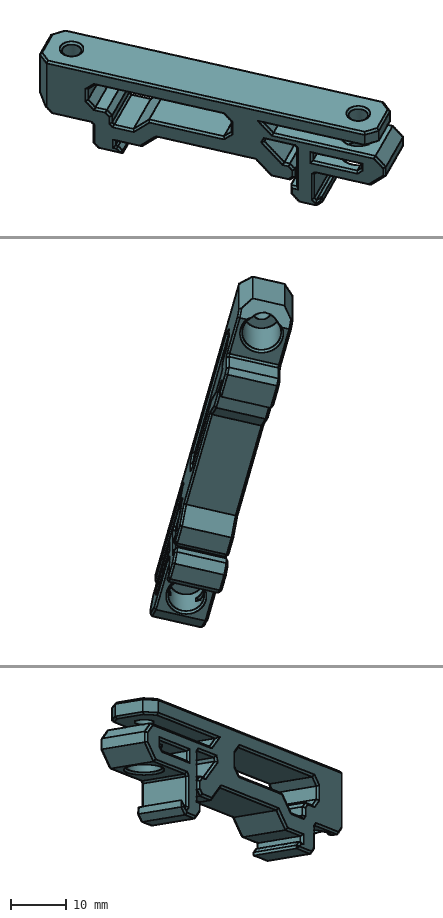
import cadquery as cq

length = 67.0
width = 10.0
height = 19.6

bevel = 0.4
end_cut = 2.0
corner_fill = 0.4
tip_cut = 1.0

bar_bottom = -3.1
arm_top = -5.0
window_floor = -8.4
body_bottom = -12.0
web_bottom = -15.0
left_foot = -17.6
hook_ledge = -16.15

bar_end = 65.05
block_slope = 2.95
step = body_bottom - web_bottom

left_leg_start = 10.85
left_leg_end = 15.15
left_hook_tip = 16.5
left_hook_flat = 0.6
web_end = 20.2

stop_slope_start = 42.0
stop_end = 49.6
stop_top = -11.25
stop_top_start = 47.5

slit_top = -6.8
slit_corner_cut = 0.95

clip_leg_start = 49.9
clip_leg_end = 53.25
clip_heel = 48.8
clip_heel_cut = 1.6
clip_tip = 54.8
clip_tip_cut = 1.2
clip_tip_top = -17.15
clip_throat = -17.95

arm_nose_cut = 2.95
arm_brow_cut = 2.0
arm_top_start = 45.4

window_start = 9.85
window_end = 37.3
window_cut = 1.4
window_shelf_end = 14.5
window_pit = -11.4
window_pit_end = 18.55

slot_start = 53.0
slot_end = 62.3
slot_top = -7.6
slot_floor = -9.4
slot_cut = 0.8

screw_diameter = 3.5
left_hole = 5.0
left_head_diameter = 7.05
right_hole = 60.0
right_head_diameter = 6.5


def side_prism(points):
    """Extrude a closed outline in the XZ plane over the full width, centred on y = 0."""
    return cq.Workplane("XZ").polyline(points).close().extrude(width / 2, both=True)


def outer_body():
    slit_sharp = stop_top_start - (slit_top - stop_top)
    diagonal_cut = slit_corner_cut * 0.5 ** 0.5
    hook_rise = hook_ledge - left_foot - left_hook_flat
    slope_drop = arm_top - bar_bottom
    points = [
        (0, 0),
        (0, body_bottom + block_slope),
        (block_slope, body_bottom),
        (left_leg_start - corner_fill, body_bottom),
        (left_leg_start, body_bottom - corner_fill),
        (left_leg_start, left_foot + tip_cut),
        (left_leg_start + tip_cut, left_foot),
        (left_hook_tip, left_foot),
        (left_hook_tip, left_foot + left_hook_flat),
        (left_hook_tip - hook_rise, hook_ledge),
        (left_leg_end, hook_ledge),
        (left_leg_end, web_bottom),
        (web_end, web_bottom),
        (web_end + step, body_bottom),
        (stop_slope_start, body_bottom),
        (stop_slope_start + step, web_bottom),
        (stop_end - tip_cut, web_bottom),
        (stop_end, web_bottom + tip_cut),
        (stop_end, stop_top - tip_cut),
        (stop_end - tip_cut, stop_top),
        (stop_top_start, stop_top),
        (slit_sharp + diagonal_cut, slit_top - diagonal_cut),
        (slit_sharp + slit_corner_cut, slit_top),
        (clip_leg_start - corner_fill, slit_top),
        (clip_leg_start, slit_top - corner_fill),
        (clip_leg_start, hook_ledge),
        (clip_heel, hook_ledge),
        (clip_heel, -height + clip_heel_cut),
        (clip_heel + clip_heel_cut, -height),
        (clip_tip - clip_tip_cut, -height),
        (clip_tip, -height + clip_tip_cut),
        (clip_tip, clip_tip_top),
        (clip_leg_end + corner_fill, clip_throat - corner_fill),
        (clip_leg_end, clip_throat),
        (clip_leg_end, body_bottom - corner_fill),
        (clip_leg_end + corner_fill, body_bottom),
        (length - arm_nose_cut, body_bottom),
        (length, body_bottom + arm_nose_cut),
        (length, arm_top - arm_brow_cut),
        (length - arm_brow_cut, arm_top),
        (arm_top_start, arm_top),
        (arm_top_start + slope_drop, bar_bottom),
        (bar_end, bar_bottom),
        (bar_end, 0),
    ]
    return side_prism(points)


def main_window():
    slope = window_floor - window_pit
    points = [
        (window_start + window_cut, bar_bottom),
        (window_end - window_cut, bar_bottom),
        (window_end, bar_bottom - window_cut),
        (window_end, window_floor + window_cut),
        (window_end - window_cut, window_floor),
        (window_pit_end + slope, window_floor),
        (window_pit_end, window_pit),
        (window_shelf_end + corner_fill, window_pit),
        (window_shelf_end, window_pit + corner_fill),
        (window_shelf_end, window_floor - tip_cut),
        (window_shelf_end - tip_cut, window_floor),
        (window_start + window_cut, window_floor),
        (window_start, window_floor + window_cut),
        (window_start, bar_bottom - window_cut),
    ]
    return side_prism(points)


def arm_slot():
    points = [
        (slot_start, slot_top),
        (slot_end, slot_top),
        (slot_end, slot_floor + slot_cut),
        (slot_end - slot_cut, slot_floor),
        (slot_start, slot_floor),
    ]
    return side_prism(points)


def cornered_bar(end, depth):
    """Bar from x = 0 to end below z = 0 with cut vertical corners and a broken top rim."""
    return (
        cq.Workplane("XY")
        .rect(end, width)
        .extrude(-depth)
        .edges("|Z")
        .chamfer(end_cut)
        .faces(">Z")
        .chamfer(bevel)
        .translate((end / 2, 0, 0))
    )


def plan_limits():
    """Space the part may fill: cornered block and top bar, with square ends on the arm below."""
    block = cornered_bar(arm_top_start, height)
    bar = cornered_bar(bar_end, -bar_bottom).faces("<Z").chamfer(bevel)
    arm_room = cq.Workplane("XY").box(
        length - stop_slope_start, width, height + bar_bottom, centered=(False, True, False)
    ).translate((stop_slope_start, 0, -height))
    return block.union(bar).union(arm_room)


def broken_mouth(x, z, radius, depth):
    """45 degree cone that opens a hole of the given radius towards the face at height z."""
    return cq.Workplane("XY", origin=(x, 0, z)).circle(radius + bevel).extrude(depth, taper=45)


def screw_hole(x, head_diameter):
    """Screw hole through the bar, room below it for the head, and broken top and bottom mouths."""
    shank = cq.Workplane("XY", origin=(x, 0, 0)).circle(screw_diameter / 2).extrude(bar_bottom)
    head_room = (
        cq.Workplane("XY", origin=(x, 0, bar_bottom))
        .circle(head_diameter / 2)
        .extrude(body_bottom - bar_bottom)
    )
    top_mouth = broken_mouth(x, 0, screw_diameter / 2, -bevel)
    bottom_mouth = broken_mouth(x, body_bottom, head_diameter / 2, bevel)
    return shank.union(head_room).union(top_mouth).union(bottom_mouth)


result = outer_body().cut(main_window()).cut(arm_slot())
result = result.faces("<Y or >Y").chamfer(bevel)
result = result.intersect(plan_limits())
result = result.cut(screw_hole(left_hole, left_head_diameter))
result = result.cut(screw_hole(right_hole, right_head_diameter))